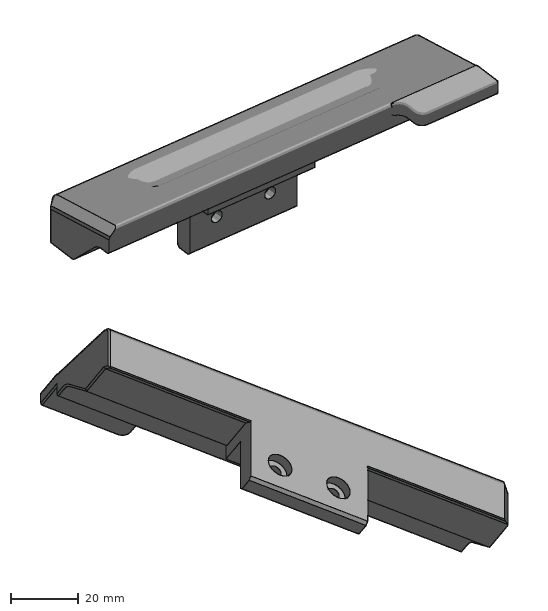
import cadquery as cq
import math

length = 138.5
height = 46.0
body_width = 32.0
slope_angle = 10.0
ridge_z = 45.8
front_bottom_z = 22.9
underside_z = 24.9
underside_bevel_width = 3.0
underside_end_x = 14.4
nose_bottom_z = 36.8
nose_fillet = 5.0
ridge_fillet = 4.0
edge_radius = 1.0
edge_break = 0.5

end_bevel = 3.0

lip_reach = 41.8
lip_length = 29.6
lip_thickness = 5.0
lip_root_x = body_width - edge_break
lip_corner_radius = 3.0

mid_y = 70.0
tab_width = 40.0
tab_thickness = 6.2
tab_end_chamfer = 1.0
shoulder_reach = 15.0
shoulder_bottom_z = 20.0

hole_diameter = 4.0
counterbore_diameter = 8.0
counterbore_depth = 3.0
hole_spacing = 20.0
hole_z = 10.0

groove_x = 14.8
groove_span = 80.0
groove_radius = 10.0
groove_depth = 2.2
groove_rim_radius = 5.0

slope = math.tan(math.radians(slope_angle))
ridge_foot_z = ridge_z - body_width * slope


lip_edge_y = length - lip_length


def near(x, y, z):
    return cq.selectors.NearestToPointSelector((x, y, z))


def make_rail():
    """Constant section extruded along Y, with its lengthwise edges finished."""
    nose_root_x = underside_end_x + nose_bottom_z - underside_z
    return (
        cq.Workplane("XZ")
        .polyline([
            (0, front_bottom_z),
            (underside_bevel_width, underside_z),
            (underside_end_x, underside_z),
            (nose_root_x, nose_bottom_z),
            (body_width, nose_bottom_z),
            (body_width, ridge_z),
            (0, ridge_foot_z),
        ])
        .close()
        .extrude(-length)
        .edges(near(nose_root_x, length / 2, nose_bottom_z))
        .fillet(nose_fillet)
        .edges(near(body_width, length / 2, nose_bottom_z))
        .fillet(edge_radius)
        .edges(near(0, length / 2, ridge_foot_z))
        .fillet(ridge_fillet)
        .faces(">Y")
        .chamfer(edge_break)
        .edges(near(0, length / 2, front_bottom_z))
        .chamfer(edge_break)
    )


def make_plan_prism(bottom_z):
    """Plan outline of rail and lip, from bottom_z up to the highest face."""
    r = lip_corner_radius
    return (
        cq.Workplane("XY", origin=(0, 0, bottom_z))
        .moveTo(0, length)
        .lineTo(lip_reach, length)
        .lineTo(lip_reach, lip_edge_y + r)
        .radiusArc((lip_reach - r, lip_edge_y), r)
        .lineTo(body_width + r, lip_edge_y)
        .radiusArc((body_width, lip_edge_y - r), -r)
        .lineTo(body_width, 0)
        .lineTo(0, 0)
        .close()
        .extrude(height - bottom_z)
        .edges(near(lip_reach, length - lip_length / 2, height))
        .fillet(edge_radius)
    )


def make_lip():
    lip_bottom_z = height - lip_thickness
    bounds = cq.Workplane("XY").box(
        lip_reach - lip_root_x, lip_length + lip_corner_radius, height, centered=False
    ).translate((lip_root_x, lip_edge_y - lip_corner_radius, 0))
    return (
        make_plan_prism(lip_bottom_z)
        .edges(near(lip_reach, length - lip_length / 2, lip_bottom_z))
        .fillet(edge_radius)
        .intersect(bounds)
        .edges(near(lip_reach, length, height - lip_thickness / 2))
        .chamfer(edge_break)
    )


def bevel_near_end(body):
    """Bevel the -X and top edges of the -Y end, then break the bevel's inner edge."""
    face_middle_z = (front_bottom_z + ridge_foot_z) / 2
    return (
        body.edges(near(0, 0, face_middle_z))
        .chamfer(end_bevel)
        .edges(near(end_bevel, 0, face_middle_z))
        .chamfer(edge_break)
    )


def make_tab():
    """Hanging plate with the shoulder block behind it."""
    plate = (
        cq.Workplane("XY")
        .box(tab_thickness, tab_width, underside_z, centered=(False, True, False))
        .edges("|Y and <Z")
        .chamfer(tab_end_chamfer)
    )
    shoulder_top_z = underside_z + shoulder_reach - underside_end_x
    shoulder_height = shoulder_top_z - shoulder_bottom_z
    shoulder = cq.Workplane("XY", origin=(0, 0, shoulder_bottom_z)).box(
        shoulder_reach, tab_width, shoulder_height, centered=(False, True, False)
    )
    return plate.union(shoulder).translate((0, mid_y, 0))


def cut_screw_holes(body):
    hole_row = cq.Workplane("YZ", origin=(0, mid_y, hole_z)).rarray(hole_spacing, 1.4, 2, 1)
    holes = hole_row.circle(hole_diameter / 2).extrude(tab_thickness)
    counterbores = hole_row.circle(counterbore_diameter / 2).extrude(counterbore_depth)
    return body.cut(holes).cut(counterbores)


def cut_groove(body):
    """Round-ended trough, square to the sloped top, with a rounded rim."""
    center_height = groove_radius - groove_depth
    top_z = ridge_foot_z + groove_x * slope
    half_span = groove_span / 2
    cutter = (
        cq.Workplane("XZ", origin=(0, -half_span, 0))
        .circle(groove_radius)
        .extrude(-groove_span)
        .union(cq.Workplane("XY").pushPoints([(0, -half_span), (0, half_span)]).sphere(groove_radius))
        .translate((0, 0, center_height))
        .rotate((0, 0, 0), (0, 1, 0), -slope_angle)
        .translate((groove_x, mid_y, top_z))
    )
    rim_half_width = math.sqrt(groove_radius**2 - center_height**2)
    rim_angle = math.radians(slope_angle)
    rim_x = groove_x + rim_half_width * math.cos(rim_angle)
    rim_z = top_z + rim_half_width * math.sin(rim_angle)
    return body.cut(cutter).edges(near(rim_x, mid_y, rim_z)).fillet(groove_rim_radius)


def round_ridge(body):
    return body.edges(near(body_width, length / 2, ridge_z)).fillet(edge_radius)


rail = cut_groove(round_ridge(bevel_near_end(make_rail())))
result = cut_screw_holes(rail.union(make_lip()).union(make_tab()))